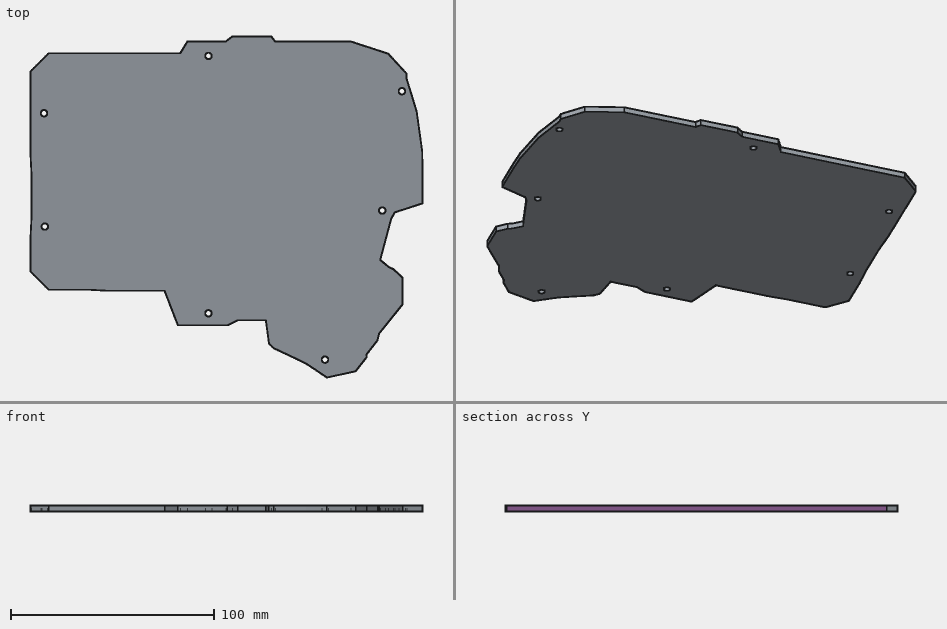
import cadquery as cq

length = 193.0
width = 167.9
thickness = 3.0
hole_diameter = 3.0

body_top = 159.6
shoulder_top = 165.4
body_bottom = 43.2
body_bottom_right = 42.7
foot_bottom = 25.7
foot_step = 28.2
lobe_right = 183.1

corner_cut = 9.0
recess_depth = 0.5
upper_ramp_start = 110.5
lower_ramp_start = 68.1
ramp_length = 11.8

top_edge = [
    (corner_cut, body_top),
    (73.7, body_top),
    (77.2, shoulder_top),
    (96.1, shoulder_top),
    (99.4, width),
    (118.5, width),
    (120.5, shoulder_top),
    (157.7, shoulder_top),
]

right_edge = [
    (176.0, 159.5),
    (185.0, 149.5),
    (185.0, 147.3),
    (190.0, 130.8),
    (192.8, 111.4),
    (length, 103.5),
    (length, 85.7),
    (179.3, 81.2),
    (177.5, 78.2),
    (172.1, 57.9),
    (176.4, 54.5),
    (178.5, 53.5),
]

lower_lobe = [
    (lobe_right, 49.2),
    (lobe_right, 36.0),
    (171.5, 21.6),
    (170.8, 18.3),
    (165.4, 11.4),
    (165.5, 10.2),
    (160.0, 3.0),
    (145.9, 0),
    (140.0, 4.0),
    (135.5, 7.0),
    (129.5, 9.8),
    (119.7, 14.5),
    (117.3, 16.8),
    (115.8, foot_step),
]

bottom_edge = [
    (102.0, foot_step),
    (96.9, foot_bottom),
    (72.5, foot_bottom),
    (66.0, body_bottom_right),
    (38.6, body_bottom_right),
    (28.2, body_bottom),
    (corner_cut, body_bottom),
]

left_edge = [
    (0, body_bottom + corner_cut),
    (0, lower_ramp_start),
    (recess_depth, lower_ramp_start + ramp_length),
    (recess_depth, upper_ramp_start - ramp_length),
    (0, upper_ramp_start),
    (0, body_top - corner_cut),
]

hole_centers = [
    (6.8, 130.0),
    (7.1, 74.3),
    (87.6, 158.3),
    (87.6, 31.7),
    (182.8, 140.9),
    (173.1, 82.2),
    (145.0, 8.9),
]

outline = top_edge + right_edge + lower_lobe + bottom_edge + left_edge
plate = cq.Workplane("XY").polyline(outline).close().extrude(thickness)

holes = (
    cq.Workplane("XY")
    .pushPoints(hole_centers)
    .circle(hole_diameter / 2)
    .extrude(thickness)
)
result = plate.cut(holes)